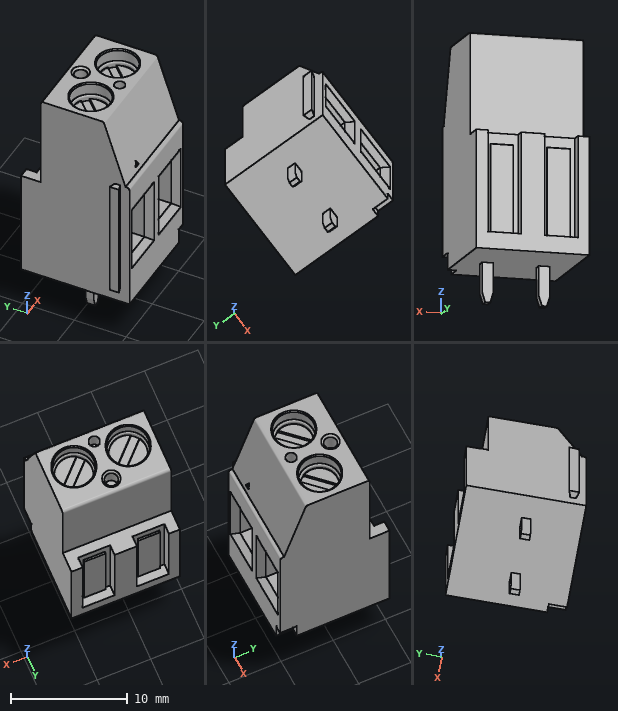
import cadquery as cq
import math


poles = 2
pitch = 5.08
housing_width = poles * pitch
housing_depth = 10.5
total_height = 23.0
housing_height = 19.48
base_height = 1.5
front_height = 13.0
ledge_height = 10.46
ledge_depth = 1.9
slope_foot = 0.4
slope_head = 2.5
edge_radius = 0.3
notch_width = 0.78
notch_depth = 1.6

rail_height = 0.6
rail_outer_width = 0.9
rail_root_width = 0.5
rail_centre_y = 1.17

funnel_width = 4.23
funnel_bottom = 3.75
funnel_top = 10.25
funnel_taper = 0.62
wire_depth = 5.75

pocket_width = 3.0
pocket_depth = 1.0
pocket_rib_width = 2.02
pocket_rib_depth = 0.18
pocket_rib_drop = 1.0

screw_y = 5.04
well_diameter = 3.7
well_chamfer = 0.12
shoulder_depth = 1.25
screw_diameter = 3.35
screw_depth = 1.55
screw_rounding = 0.18
slot_width = 0.8
slot_depth = 0.28
slot_angle = 45

test_hole_depth = 1.85
rear_hole_diameter = 1.2
rear_hole_chamfer = 0.2
rear_hole_y = 7.31
front_hole_diameter = 1.0
front_hole_y = 3.55

pin_length = total_height - housing_height
pin_width = 1.0
pin_thickness = 0.8
pin_tip_width = 0.45
pin_taper_length = 0.83
pin_centre_y = 4.9

mark_width = 0.5
mark_bottom = 13.48
mark_height = 0.44
mark_depth = 0.1

pole_positions = [pitch * (index + 0.5) for index in range(poles)]


def box(x_range, y_range, z_range):
    """Box spanning the given (low, high) ranges."""
    size = [high - low for low, high in (x_range, y_range, z_range)]
    corner = (x_range[0], y_range[0], z_range[0])
    return cq.Workplane("XY").box(*size, centered=False).translate(corner)


def centred(centre, width):
    """Range of the given width about a centre."""
    return (centre - width / 2, centre + width / 2)


def make_housing():
    profile = [
        (0, 0),
        (housing_depth, 0),
        (housing_depth, ledge_height),
        (housing_depth - ledge_depth, ledge_height),
        (housing_depth - ledge_depth, housing_height),
        (slope_head, housing_height),
        (slope_foot, front_height),
        (0, front_height),
    ]
    block = cq.Workplane("YZ").polyline(profile).close().extrude(housing_width)
    block = block.faces(">Z").edges("|X").fillet(edge_radius)
    front_edge = cq.selectors.NearestToPointSelector((housing_width / 2, 0, front_height))
    block = block.edges(front_edge).fillet(edge_radius)
    notch = box((housing_width - notch_width, housing_width), (0, notch_depth), (0, base_height))
    return block.cut(notch)


def make_rail():
    half_root = rail_root_width / 2
    half_outer = rail_outer_width / 2
    profile = [
        (0, rail_centre_y - half_root),
        (0, rail_centre_y + half_root),
        (-rail_height, rail_centre_y + half_outer),
        (-rail_height, rail_centre_y - half_outer),
    ]
    rail = cq.Workplane("XY").workplane(offset=base_height).polyline(profile).close()
    return rail.extrude(front_height - base_height)


def make_wire_opening(x):
    """Tapered funnel leading into a straight rectangular passage."""
    height = funnel_top - funnel_bottom
    passage_width = funnel_width - 2 * funnel_taper
    passage_height = height - 2 * funnel_taper
    mouth = cq.Workplane("XZ", origin=(x, 0, (funnel_top + funnel_bottom) / 2))
    funnel = (
        mouth.rect(funnel_width, height)
        .workplane(offset=-funnel_taper)
        .rect(passage_width, passage_height)
        .loft(ruled=True)
    )
    passage = mouth.rect(passage_width, passage_height).extrude(-wire_depth)
    return funnel.union(passage)


def make_rear_pocket(x):
    """Pocket behind each pole, down to the base, with a low rib on its inner wall."""
    inner_wall = housing_depth - pocket_depth
    pocket = box(centred(x, pocket_width), (inner_wall, housing_depth), (base_height, ledge_height))
    rib = box(
        centred(x, pocket_rib_width),
        (inner_wall, inner_wall + pocket_rib_depth),
        (base_height, ledge_height - pocket_rib_drop),
    )
    return pocket.cut(rib)


def make_screw_well(x):
    """Round well with a chamfered mouth and a rounded shoulder above the screw."""
    well_radius = well_diameter / 2
    screw_radius = screw_diameter / 2
    shoulder_radius = well_radius - screw_radius
    shoulder_z = housing_height - shoulder_depth
    bottom_z = housing_height - screw_depth - slot_depth
    arc_offset = shoulder_radius * math.sqrt(0.5)
    arc_middle = (well_radius - arc_offset, shoulder_z - shoulder_radius + arc_offset)
    return (
        cq.Workplane("XZ", origin=(x, screw_y, 0))
        .moveTo(0, housing_height)
        .lineTo(well_radius + well_chamfer, housing_height)
        .lineTo(well_radius, housing_height - well_chamfer)
        .lineTo(well_radius, shoulder_z)
        .threePointArc(arc_middle, (screw_radius, shoulder_z - shoulder_radius))
        .lineTo(screw_radius, bottom_z)
        .lineTo(0, bottom_z)
        .close()
        .revolve(360, (0, 0), (0, 1))
    )


def make_screw_head(x):
    """Slotted head standing on the floor of its well."""
    head = cq.Workplane("XY").circle(screw_diameter / 2).extrude(slot_depth)
    head = head.faces(">Z").edges().fillet(screw_rounding)
    slot = cq.Workplane("XY").rect(screw_diameter, slot_width).extrude(slot_depth)
    slot = slot.rotate((0, 0, 0), (0, 0, 1), slot_angle)
    return head.cut(slot).translate((x, screw_y, housing_height - screw_depth - slot_depth))


def make_test_hole(y, diameter):
    centre = (housing_width / 2, y, housing_height)
    return cq.Workplane("XY", origin=centre).circle(diameter / 2).extrude(-test_hole_depth)


def make_rear_hole_mouth():
    """Cone that chamfers the rear test hole."""
    radius = rear_hole_diameter / 2
    cone_base = cq.Vector(housing_width / 2, rear_hole_y, housing_height - rear_hole_chamfer)
    return cq.Solid.makeCone(radius, radius + rear_hole_chamfer, rear_hole_chamfer, cone_base)


def make_pin(x):
    half_width = pin_width / 2
    half_tip = pin_tip_width / 2
    taper_start = -pin_length + pin_taper_length
    profile = [
        (-half_width, 0),
        (-half_width, taper_start),
        (-half_tip, -pin_length),
        (half_tip, -pin_length),
        (half_width, taper_start),
        (half_width, 0),
    ]
    pin = cq.Workplane("XZ", origin=(x, pin_centre_y, 0)).polyline(profile).close()
    return pin.extrude(pin_thickness / 2, both=True)


def make_mark(x):
    """Triangular prism that sinks the mark a fixed distance behind the slope."""
    profile = [
        (x - mark_width / 2, mark_bottom),
        (x + mark_width / 2, mark_bottom),
        (x, mark_bottom + mark_height),
    ]
    prism = cq.Workplane("XZ").polyline(profile).close().extrude(-slope_head)
    in_front_of_floor = [
        (0, front_height),
        (slope_foot + mark_depth, front_height),
        (slope_head + mark_depth, housing_height),
        (0, housing_height),
    ]
    region = cq.Workplane("YZ").polyline(in_front_of_floor).close().extrude(housing_width)
    return prism.intersect(region)


result = make_housing().union(make_rail())
for pole_x in pole_positions:
    result = result.cut(make_wire_opening(pole_x))
    result = result.cut(make_rear_pocket(pole_x))
    result = result.cut(make_screw_well(pole_x))
    result = result.union(make_screw_head(pole_x))
    result = result.union(make_pin(pole_x))
result = result.cut(make_test_hole(rear_hole_y, rear_hole_diameter))
result = result.cut(make_rear_hole_mouth())
result = result.cut(make_test_hole(front_hole_y, front_hole_diameter))
result = result.cut(make_mark(pole_positions[0]))